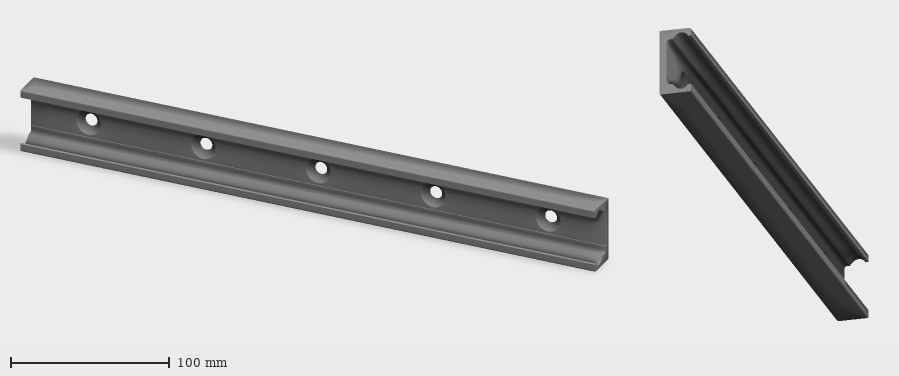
import cadquery as cq

length = 400.0
depth = 21.0
height = 43.0
back = depth / 2
front = -depth / 2

web_thickness = 5.0
web_face = back - web_thickness
step_height = 15.0
step_front = back - 8.5
corner_radius = 2.0
flank_run = 2.5
lip_height = 16.5
lip_flat = 2.0

outer_edge_radius = 1.0

groove_z = -10.5
groove_depth = 1.0
groove_width = 0.5

hole_count = 5
hole_pitch = length / hole_count
hole_diameter = 8.5
countersink_diameter = 17.0
countersink_angle = 90


def extrude_along_rail(outline):
    return outline.extrude(length / 2, both=True)


def make_channel_space():
    """Space between the flanges, open at the front and mirrored about Z = 0."""
    lower_half = (
        cq.Workplane("YZ")
        .moveTo(web_face, 0)
        .lineTo(web_face, -step_height)
        .lineTo(step_front, -step_height)
        .lineTo(step_front - flank_run, -step_height - flank_run)
        .tangentArcPoint((front + lip_flat, -lip_height), relative=False)
        .lineTo(front, -lip_height)
        .lineTo(front, 0)
        .close()
    )
    lower_space = extrude_along_rail(lower_half)
    space = lower_space.union(lower_space.mirror("XY")).clean()
    return space.edges("|X and >Y").fillet(corner_radius)


def make_web_groove():
    outline = cq.Workplane("YZ").polyline([
        (web_face, groove_z - groove_width / 2),
        (web_face + groove_depth, groove_z),
        (web_face, groove_z + groove_width / 2),
    ]).close()
    return extrude_along_rail(outline)


rail = cq.Workplane("XY").box(length, depth, height).edges("|X").fillet(outer_edge_radius)
rail = rail.cut(make_channel_space()).cut(make_web_groove())

result = (
    rail.copyWorkplane(cq.Workplane("XZ", origin=(0, web_face, 0)))
    .rarray(hole_pitch, 4, hole_count, 1)
    .cskHole(hole_diameter, countersink_diameter, countersink_angle)
)